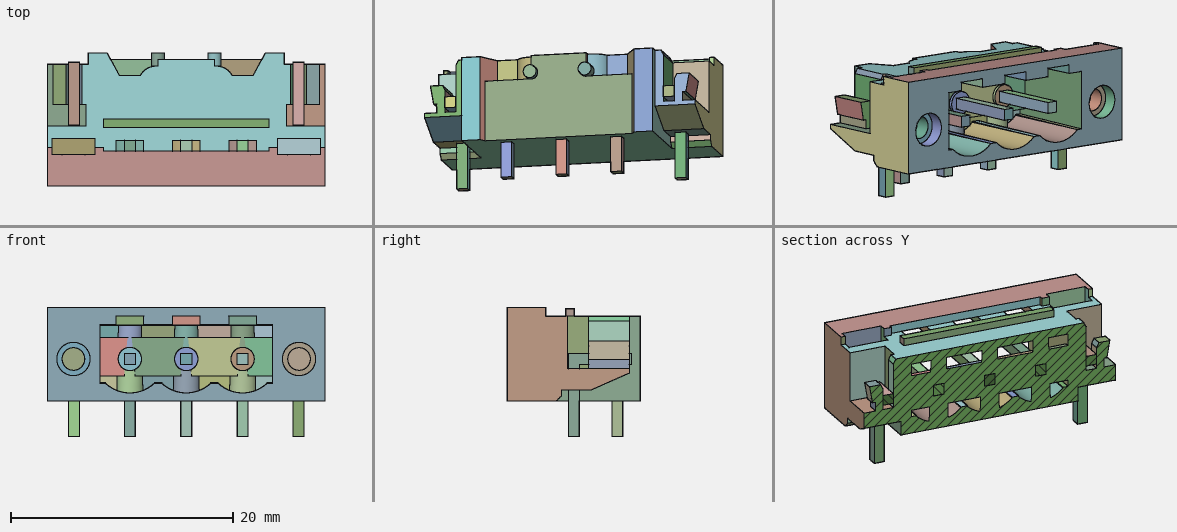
import cadquery as cq
WIDTH = 25.04
DEPTH = 12.0
HEIGHT = 8.43
ROOF_Z = 7.66
PIN_DROP = 3.2

PITCH = 5.08
CONTACT_COUNT = 3
CONTACT_X = [(i - (CONTACT_COUNT - 1) / 2) * PITCH for i in range(CONTACT_COUNT)]
AXIS_Z = 3.79
SIDES = (-1, 1)

PIN_SIZE = 1.0
CONTACT_TIP_Y = 0.9
CONTACT_LEG_Y = 9.93

FIXING_X = 10.11
FIXING_LEG_Y = 6.01
FIXING_END_Y = 11.18

FLANGE_BACK_Y = 5.43
FLANGE_STEP_Y = 3.5
SHELF_Z = 2.91
SHELF_BACK_Y = 11.0
SHELF_TIP_Z = 2.52
SHELF_UNDER_Y = 7.52
SHELF_UNDER_Z = 0.98
FOOT_BACK_Y = 4.91
FOOT_CHAMFER = 0.49

CORE_HALF_WIDTH = 8.83
POCKET_WALL_X = 9.05
CLAMP_FRONT_Y = 7.35
REAR_WALL_Y = 11.41

CLIP_TOP_Z = 5.41
CLIP_TOP_X = 11.98
CLIP_WEB_X = 11.38
CLIP_BARB_X = 11.68
CLIP_BARB_Z = 3.73
LEAD_IN_X = 0.24
LEAD_IN_Z = 0.46
CLAMP_INNER_X = FIXING_X - PIN_SIZE / 2
CLAMP_OUTER_X = FIXING_X + PIN_SIZE / 2

ROOF_HALF_LENGTH = 7.47
ROOF_STEP_Y = 3.15
RIB_FRONT_Y = 5.27
RIB_BACK_Y = 6.06
RIB_TOP_Z = 8.33

CAVITY_HALF_WIDTH = 7.78
CAVITY_TOP_Z = 6.88
CAVITY_FLOOR_Z = 1.6
CAVITY_DEPTH = 8.0
CAVITY_TAPER = 0.08
TROUGH_BOTTOM_Z = 0.73
TROUGH_HALF_WIDTH = 2.2
KEY_WIDTH = 2.47
KEY_BACK_Y = 4.13

BAND_BOTTOM_Z = 2.25
BAND_TOP_Z = 5.71
POST_RADIUS = 1.21
POST_DRAFT = 0.0235
POST_PROUD = 0.095
POST_SETBACK = 0.4
POST_Y = CAVITY_DEPTH - POST_PROUD + POST_RADIUS
CAVITY_BACK_Y = POST_Y - POST_SETBACK
COLLAR_RADIUS = 1.05
COLLAR_LENGTH = 0.3

SCREW_X = 2 * PITCH
BORE_RADIUS = 1.5
BORE_DEPTH = 1.3
HOLE_RADIUS = 1.02
NUT_WIDTH = 3.86
NUT_FRONT_Y = 2.83
NUT_BACK_Y = 4.3

SCALLOP_FLOOR_Z = 5.5
SCALLOP_Y = 9.95
SCALLOP_TOP_X = 7.12
SCALLOP_CORNER_X = 6.01
SCALLOP_SHOULDER_X = 4.14
SCALLOP_BEND = (3.55, 10.58)
PEG_X = PITCH / 2
PEG_FRONT_Y = 10.8
PEG_RADIUS = 0.6
PEG_Z = 6.08


def block(x0, x1, y0, y1, z0, z1):
    """Box between opposite corners, each pair given low to high."""
    plane = cq.Workplane("XY", origin=(x0, y0, z0))
    return plane.box(x1 - x0, y1 - y0, z1 - z0, centered=False)


def rod(x, z, radius, y0, y1):
    """Round rod along Y."""
    return cq.Workplane("XZ", origin=(x, y0, z)).circle(radius).extrude(y0 - y1)


def flange_and_shelves():
    outline = [
        (0, 0),
        (FOOT_BACK_Y - FOOT_CHAMFER, 0),
        (FOOT_BACK_Y, FOOT_CHAMFER),
        (FOOT_BACK_Y, SHELF_UNDER_Z),
        (SHELF_UNDER_Y, SHELF_UNDER_Z),
        (SHELF_BACK_Y, SHELF_TIP_Z),
        (SHELF_BACK_Y, SHELF_Z),
        (FLANGE_BACK_Y, SHELF_Z),
        (FLANGE_BACK_Y, ROOF_Z),
        (FLANGE_STEP_Y, ROOF_Z),
        (FLANGE_STEP_Y, HEIGHT),
        (0, HEIGHT),
    ]
    flange = cq.Workplane("YZ", origin=(-WIDTH / 2, 0, 0)).polyline(outline).close().extrude(WIDTH)
    return flange.cut(block(-ROOF_HALF_LENGTH, ROOF_HALF_LENGTH, ROOF_STEP_Y, FLANGE_STEP_Y, ROOF_Z, HEIGHT))


def core():
    body = block(-CORE_HALF_WIDTH, CORE_HALF_WIDTH, FOOT_BACK_Y - FOOT_CHAMFER, DEPTH, 0, ROOF_Z)
    return body.union(block(-POCKET_WALL_X, POCKET_WALL_X, FOOT_BACK_Y, CLAMP_FRONT_Y, SHELF_Z, ROOF_Z))


def clamp_profile(side, points):
    """Prism along the clamp length from (X, Z) points, mirrored to the given side."""
    outline = [(side * x, z) for x, z in points]
    plane = cq.Workplane("XZ", origin=(0, CLAMP_FRONT_Y, 0))
    return plane.polyline(outline).close().extrude(CLAMP_FRONT_Y - SHELF_BACK_Y)


def clamp_wall(side):
    """Wall on the core that holds the inner face of a fixing pin."""
    return clamp_profile(side, [
        (CORE_HALF_WIDTH, SHELF_Z),
        (CLAMP_INNER_X, SHELF_Z),
        (CLAMP_INNER_X, ROOF_Z - LEAD_IN_Z),
        (CLAMP_INNER_X - LEAD_IN_X, ROOF_Z),
        (CORE_HALF_WIDTH, ROOF_Z),
    ])


def clip(side):
    """Barbed clip that holds the outer face of a fixing pin."""
    return clamp_profile(side, [
        (CLAMP_OUTER_X, SHELF_Z),
        (CLIP_WEB_X, SHELF_Z),
        (CLIP_WEB_X, CLIP_BARB_Z),
        (CLIP_BARB_X, CLIP_BARB_Z),
        (CLIP_TOP_X, CLIP_TOP_Z),
        (CLAMP_OUTER_X + LEAD_IN_X, CLIP_TOP_Z),
        (CLAMP_OUTER_X, CLIP_TOP_Z - LEAD_IN_Z),
    ])


def scallop():
    """Space removed from the rear edge above the scallop floor."""
    shape = (
        cq.Workplane("XY", origin=(0, 0, SCALLOP_FLOOR_Z))
        .moveTo(-SCALLOP_TOP_X, DEPTH)
        .lineTo(-SCALLOP_CORNER_X, SCALLOP_Y)
        .lineTo(-SCALLOP_SHOULDER_X, SCALLOP_Y)
        .threePointArc((-SCALLOP_BEND[0], SCALLOP_BEND[1]), (-PEG_X, PEG_FRONT_Y))
        .lineTo(-PEG_X, REAR_WALL_Y)
        .lineTo(0, REAR_WALL_Y)
        .lineTo(0, DEPTH)
        .close()
        .extrude(ROOF_Z - SCALLOP_FLOOR_Z)
    )
    return shape.union(shape.mirror("YZ"))


def rear_recess():
    """Shallow recess with sloped ends over the full height of the rear face."""
    slope = (SCALLOP_TOP_X - SCALLOP_CORNER_X) / (DEPTH - SCALLOP_Y)
    inner_x = SCALLOP_TOP_X - slope * (DEPTH - REAR_WALL_Y)
    outline = [
        (-SCALLOP_TOP_X, DEPTH),
        (-inner_x, REAR_WALL_Y),
        (inner_x, REAR_WALL_Y),
        (SCALLOP_TOP_X, DEPTH),
    ]
    return cq.Workplane("XY").polyline(outline).close().extrude(ROOF_Z)


def trough(x):
    """Round-bottomed channel in the cavity floor, below one contact."""
    return (
        cq.Workplane("XZ")
        .moveTo(x - TROUGH_HALF_WIDTH, CAVITY_FLOOR_Z)
        .threePointArc((x, TROUGH_BOTTOM_Z), (x + TROUGH_HALF_WIDTH, CAVITY_FLOOR_Z))
        .line(0, CAVITY_TAPER)
        .line(-2 * TROUGH_HALF_WIDTH, 0)
        .close()
        .extrude(-CAVITY_BACK_Y)
    )


def post(x):
    """Tapered upright post around the leg of one contact."""
    bottom_radius = POST_RADIUS + POST_DRAFT * BAND_BOTTOM_Z
    top_radius = bottom_radius - POST_DRAFT * ROOF_Z
    cone = cq.Solid.makeCone(bottom_radius, top_radius, ROOF_Z, pnt=cq.Vector(x, POST_Y, 0))
    return cq.Workplane(cone)


def cavity():
    """Space for the plug, with ceiling and floor closing in slightly toward the back."""
    outline = [
        (0, CAVITY_FLOOR_Z),
        (CAVITY_BACK_Y, CAVITY_FLOOR_Z + CAVITY_TAPER),
        (CAVITY_BACK_Y, CAVITY_TOP_Z - CAVITY_TAPER),
        (0, CAVITY_TOP_Z),
    ]
    plane = cq.Workplane("YZ", origin=(-CAVITY_HALF_WIDTH, 0, 0))
    space = plane.polyline(outline).close().extrude(2 * CAVITY_HALF_WIDTH)
    for x in CONTACT_X:
        space = space.union(trough(x))
    space = space.cut(block(
        -CAVITY_HALF_WIDTH, CAVITY_HALF_WIDTH, CAVITY_DEPTH, CAVITY_BACK_Y, BAND_BOTTOM_Z, BAND_TOP_Z))
    for x in CONTACT_X:
        space = space.cut(post(x))
        space = space.cut(rod(x, AXIS_Z, COLLAR_RADIUS, CAVITY_DEPTH - COLLAR_LENGTH, CAVITY_BACK_Y))
        space = space.union(block(
            x - KEY_WIDTH / 2, x + KEY_WIDTH / 2, 0, KEY_BACK_Y, CAVITY_TOP_Z - CAVITY_TAPER, ROOF_Z))
    return space


def screw_hole(side):
    x = side * SCREW_X
    nut_bottom_z = AXIS_Z - NUT_WIDTH / 2
    nut_slot = block(x - NUT_WIDTH / 2, x + NUT_WIDTH / 2, NUT_FRONT_Y, NUT_BACK_Y, nut_bottom_z, HEIGHT)
    bore = rod(x, AXIS_Z, BORE_RADIUS, 0, BORE_DEPTH)
    return nut_slot.union(bore).union(rod(x, AXIS_Z, HOLE_RADIUS, 0, NUT_FRONT_Y))


def bent_pin(x, tip_y, end_y, leg_y):
    """Square pin with an arm along Y and a leg down through the board."""
    half = PIN_SIZE / 2
    arm = block(x - half, x + half, tip_y, end_y, AXIS_Z - half, AXIS_Z + half)
    leg = block(x - half, x + half, leg_y - half, leg_y + half, -PIN_DROP, AXIS_Z + half)
    return arm.union(leg)


def make_housing(pins):
    body = flange_and_shelves().union(core())
    for side in SIDES:
        body = body.union(clamp_wall(side)).union(clip(side))
    body = body.union(block(-ROOF_HALF_LENGTH, ROOF_HALF_LENGTH, RIB_FRONT_Y, RIB_BACK_Y, ROOF_Z, RIB_TOP_Z))
    body = body.cut(rear_recess()).cut(scallop()).cut(cavity())
    for side in SIDES:
        body = body.cut(screw_hole(side))
        body = body.union(rod(side * PEG_X, PEG_Z, PEG_RADIUS, PEG_FRONT_Y, DEPTH))
    for pin in pins:
        body = body.cut(pin)
    return body


contact_pins = [
    bent_pin(x, CONTACT_TIP_Y, CONTACT_LEG_Y + PIN_SIZE / 2, CONTACT_LEG_Y) for x in CONTACT_X
]
fixing_pins = [
    bent_pin(side * FIXING_X, FIXING_LEG_Y - PIN_SIZE / 2, FIXING_END_Y, FIXING_LEG_Y) for side in SIDES
]
housing = make_housing(contact_pins + fixing_pins)

result = cq.Compound.makeCompound(
    [housing.val()] + [pin.val() for pin in contact_pins + fixing_pins]
)